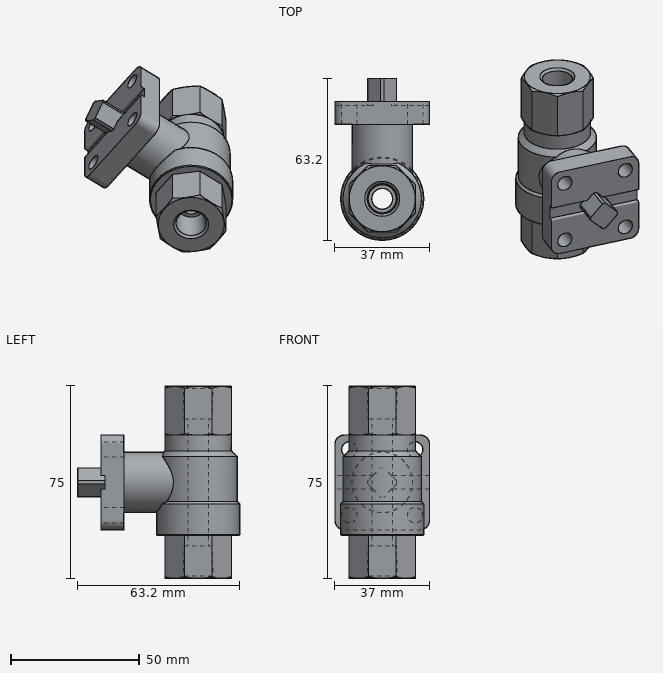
import cadquery as cq
import math


length = 75.0
overall_depth = 63.2
bore_dia = 8.0
nut_flats = 26.0
nut_sides = 8
nut_chamfer_angle = 30.0
upper_nut_length = 19.0
end_face_dia = 25.7
shoulder_face_dia = 26.4
neck_dia = nut_flats
body_dia = 30.5
collar_dia = 32.5
neck_bottom_z = 12.3
collar_top_z = -8.4
collar_bottom_z = -20.8
collar_edge = 0.4

port_mouth_dia = 13.65
port_dia = 11.8
port_floor_dia = 10.95
port_depth = 12.75

branch_dia = 23.6
flange_size = 37.0
flange_thickness = 9.0
flange_corner_radius = 3.7
bolt_circle_dia = 36.2
bolt_hole_dia = 6.0
bolt_hole_count = 4
first_bolt_angle = 45.0
pinned_bolt_angle = 225.0
pin_hole_dia = 3.2
pin_hole_breakthrough = 0.011
slot_width = 5.3
slot_depth = 1.65
slot_lip_radius = 0.45
stem_projection = 9.0
stem_flats = 8.85
stem_dia = 11.3

half_length = length / 2
stem_end_y = overall_depth - collar_dia / 2
flange_back_y = stem_end_y - stem_projection
flange_front_y = flange_back_y - flange_thickness


def revolve_about_z(points):
    """Revolve a closed (radius, z) outline about the Z axis."""
    return cq.Workplane("XZ").polyline(points).close().revolve(360, (0, 0, 0), (0, 1, 0))


def nut(bottom_z, top_z, bottom_face_dia, top_face_dia):
    """Octagonal prism whose corners are chamfered down to a round face at each end."""
    corner_dia = nut_flats / math.cos(math.pi / nut_sides)
    slope = math.tan(math.radians(nut_chamfer_angle))
    corner_radius = corner_dia / 2
    bottom_radius = bottom_face_dia / 2
    top_radius = top_face_dia / 2
    prism = (
        cq.Workplane("XY", origin=(0, 0, bottom_z))
        .transformed(rotate=(0, 0, 180 / nut_sides))
        .polygon(nut_sides, corner_dia)
        .extrude(top_z - bottom_z)
    )
    envelope = revolve_about_z([
        (0, bottom_z),
        (bottom_radius, bottom_z),
        (corner_radius, bottom_z + (corner_radius - bottom_radius) * slope),
        (corner_radius, top_z - (corner_radius - top_radius) * slope),
        (top_radius, top_z),
        (0, top_z),
    ])
    return prism.intersect(envelope)


def turned_body():
    """Neck, barrel and collar; each step in diameter is a 45 degree cone."""
    neck_radius = neck_dia / 2
    body_radius = body_dia / 2
    collar_radius = collar_dia / 2
    return revolve_about_z([
        (0, half_length - upper_nut_length),
        (neck_radius, half_length - upper_nut_length),
        (neck_radius, neck_bottom_z),
        (body_radius, neck_bottom_z - (body_radius - neck_radius)),
        (body_radius, collar_top_z + (collar_radius - body_radius)),
        (collar_radius, collar_top_z),
        (collar_radius, collar_bottom_z + collar_edge),
        (collar_radius - collar_edge, collar_bottom_z),
        (0, collar_bottom_z),
    ])


def upper_port():
    """Port cavity: 45 degree lead-in, then a slight taper down to a flat floor."""
    lead_in = (port_mouth_dia - port_dia) / 2
    floor_z = half_length - port_depth
    return revolve_about_z([
        (0, floor_z),
        (port_floor_dia / 2, floor_z),
        (port_dia / 2, half_length - lead_in),
        (port_mouth_dia / 2, half_length),
        (0, half_length),
    ])


def plane_across_y(y):
    """Workplane at the given Y whose extrusions run toward -Y."""
    return cq.Workplane("XZ", origin=(0, y, 0))


def flange():
    plate = (
        plane_across_y(flange_back_y)
        .rect(flange_size, flange_size)
        .extrude(flange_thickness)
        .edges("|Y")
        .fillet(flange_corner_radius)
    )
    slot = cq.Workplane("XY").box(flange_size, 2 * slot_depth, slot_width)
    plate = plate.cut(slot.translate((0, flange_back_y, 0)))
    lip_finder = cq.selectors.BoxSelector(
        (-flange_size, flange_back_y - slot_depth / 2, -slot_width),
        (flange_size, flange_back_y + slot_depth / 2, slot_width),
    )
    plate = plate.edges("|X").edges(lip_finder).fillet(slot_lip_radius)

    bolt_holes = (
        plane_across_y(flange_back_y)
        .polarArray(bolt_circle_dia / 2, first_bolt_angle, 360, bolt_hole_count)
        .circle(bolt_hole_dia / 2)
        .extrude(flange_thickness)
    )
    pin_offset = (bolt_hole_dia - pin_hole_dia) / 2 + pin_hole_breakthrough
    pin_hole_angle = pinned_bolt_angle + math.degrees(2 * math.asin(pin_offset / bolt_circle_dia))
    pin_hole = (
        plane_across_y(flange_back_y)
        .polarArray(bolt_circle_dia / 2, pin_hole_angle, 360, 1)
        .circle(pin_hole_dia / 2)
        .extrude(flange_thickness)
    )
    return plate.cut(bolt_holes).cut(pin_hole)


def stem():
    """Square drive set on its corner, with the corners turned down to a cylinder."""
    stem_length = stem_end_y - flange_front_y
    square = (
        plane_across_y(stem_end_y)
        .transformed(rotate=(0, 0, 45))
        .rect(stem_flats, stem_flats)
        .extrude(stem_length)
    )
    round_bar = plane_across_y(stem_end_y).circle(stem_dia / 2).extrude(stem_length)
    return square.intersect(round_bar)


upper_nut = nut(half_length - upper_nut_length, half_length, shoulder_face_dia, end_face_dia)
lower_nut = nut(-half_length, collar_top_z, end_face_dia, shoulder_face_dia)
branch = plane_across_y(flange_front_y).circle(branch_dia / 2).extrude(flange_front_y)
bore = cq.Workplane("XY").circle(bore_dia / 2).extrude(half_length, both=True)
lower_port = upper_port().mirror("XY")

result = turned_body().union(upper_nut).union(lower_nut).union(branch)
result = result.union(flange()).union(stem())
result = result.cut(bore).cut(upper_port()).cut(lower_port)